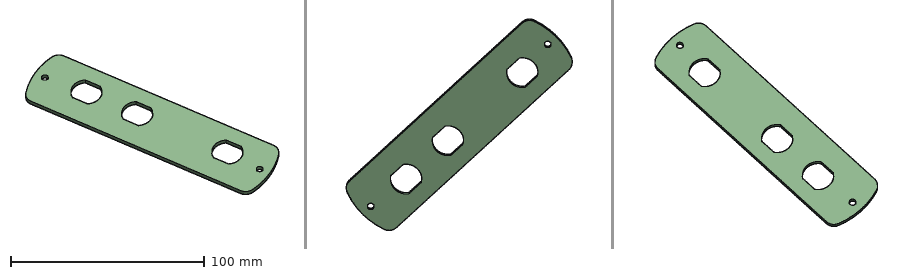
import cadquery as cq
import math

length = 139.0
width = 35.0
thickness = 2.5
end_radius = 41.7
corner_radius = 5.5

screw_hole_diameter = 3.5
screw_hole_offset = 63.5

cutout_diameter = 16.1
cutout_height = 13.5
cutout_y = 2.0
cutout_x_positions = (-40.0, -10.0, 43.4)


def make_plate():
    """Flat plate with bowed ends and rounded corners."""
    half_length = length / 2
    half_width = width / 2
    end_sagitta = end_radius - math.sqrt(end_radius**2 - half_width**2)
    corner_x = half_length - end_sagitta
    return (
        cq.Workplane("XY")
        .moveTo(-corner_x, -half_width)
        .lineTo(corner_x, -half_width)
        .threePointArc((half_length, 0), (corner_x, half_width))
        .lineTo(-corner_x, half_width)
        .threePointArc((-half_length, 0), (-corner_x, -half_width))
        .close()
        .extrude(thickness)
        .edges("|Z")
        .fillet(corner_radius)
    )


def make_screw_holes():
    """Through-hole cutters on the long centre line."""
    return (
        cq.Workplane("XY")
        .pushPoints([(-screw_hole_offset, 0), (screw_hole_offset, 0)])
        .circle(screw_hole_diameter / 2)
        .extrude(thickness)
    )


def make_cutout(x):
    """Cylinder cutter trimmed to two flats parallel to X."""
    cylinder = cq.Workplane("XY").circle(cutout_diameter / 2).extrude(thickness)
    flats = cq.Workplane("XY").rect(cutout_diameter, cutout_height).extrude(thickness)
    return cylinder.intersect(flats).translate((x, cutout_y, 0))


result = make_plate().cut(make_screw_holes())
for cutout_x in cutout_x_positions:
    result = result.cut(make_cutout(cutout_x))